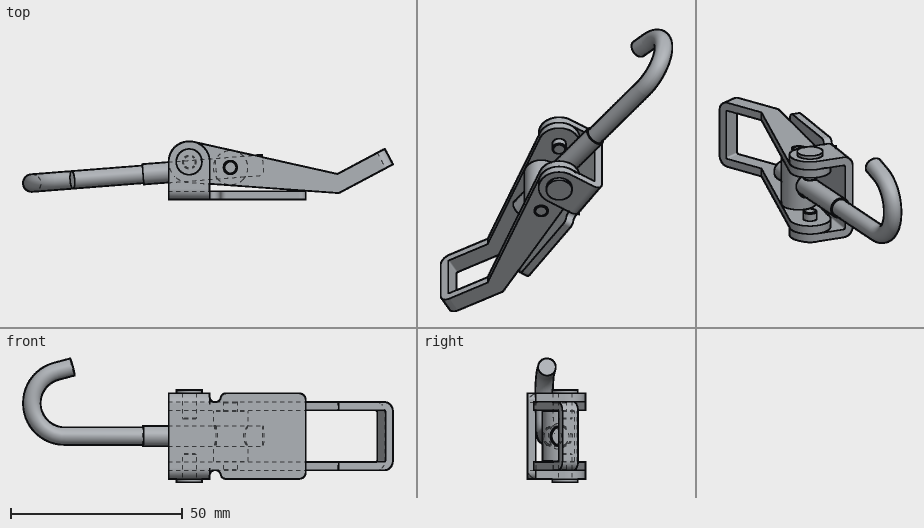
import cadquery as cq
import math


sheet = 2.5
bracket_half_width = 12.5
ear_radius = 6.0
pivot_height = 11.0
plate_end = 34.0
plate_corner_radius = 2.0
bend_inner_radius = 0.5
bend_outer_radius = bend_inner_radius + sheet
relief_radius = 1.6
relief_depth = 2.6

pin_chamfer = 0.3

rivet_radius = 2.0
rivet_head_radius = 3.75
rivet_head_height = 1.0
rivet_inner_end = 5.0

lever_half_width = bracket_half_width - sheet
lever_inner_half_width = lever_half_width - sheet
lever_upper_slope = math.radians(12.6)
lever_lower_slope = math.radians(4.1)
handle_angle = math.radians(28)
upper_bend_x = 43.2
lower_bend_x = 43.6
handle_tip_x = 59.41
handle_corner_radius = bend_outer_radius

barrel_x = 12.0
barrel_height = 9.36
barrel_radius = 5.0
barrel_half_length = 7.25
countersink_radius = 3.75
trunnion_radius = 2.0

rod_tilt = 4.5
rod_radius = 2.6
shank_radius = 3.0
shank_tail = 9.5
shank_length = 35.0
bend_start = 48.4
hook_radius = 9.6
hook_opening = math.radians(15)
hook_tip_length = 4.9


def cylinder_along_z(x, y, radius, z_start, z_end):
    return cq.Workplane(origin=(x, y, z_start)).circle(radius).extrude(z_end - z_start)


def relief_notch():
    """Notch in the +Z plate edge beside the ear: a hollow arc blending into a rounded shoulder."""
    hollow_x = ear_radius + relief_radius
    hollow_z = bracket_half_width - relief_depth + relief_radius
    shoulder_z = bracket_half_width - relief_radius
    rise = hollow_z - shoulder_z
    shoulder_x = hollow_x + math.sqrt((2 * relief_radius) ** 2 - rise**2)
    shoulder_top = (shoulder_x, bracket_half_width)
    blend = ((hollow_x + shoulder_x) / 2, (hollow_z + shoulder_z) / 2)
    blend_angle = math.atan2(rise, shoulder_x - hollow_x)
    shoulder_mid_angle = (math.pi / 2 + math.pi - blend_angle) / 2
    shoulder_mid = (
        shoulder_x + relief_radius * math.cos(shoulder_mid_angle),
        shoulder_z + relief_radius * math.sin(shoulder_mid_angle),
    )
    return (
        cq.Workplane("XZ")
        .moveTo(ear_radius, bracket_half_width)
        .lineTo(ear_radius, hollow_z)
        .threePointArc((hollow_x, hollow_z - relief_radius), blend)
        .threePointArc(shoulder_mid, shoulder_top)
        .close()
        .extrude(-sheet)
    )


def make_bracket():
    channel_height = pivot_height + ear_radius
    outer = (
        cq.Workplane("XY")
        .box(2 * ear_radius, channel_height, 2 * bracket_half_width, centered=(True, False, True))
        .edges("|X and <Y")
        .fillet(bend_outer_radius)
    )
    inner = (
        cq.Workplane("XY", origin=(0, sheet, 0))
        .box(2 * ear_radius, channel_height, 2 * lever_half_width, centered=(True, False, True))
        .edges("|X and <Y")
        .fillet(bend_inner_radius)
    )
    ear_profile = (
        cq.Workplane("XY", origin=(0, 0, -bracket_half_width))
        .moveTo(-ear_radius, 0)
        .lineTo(ear_radius, 0)
        .lineTo(ear_radius, pivot_height)
        .threePointArc((0, channel_height), (-ear_radius, pivot_height))
        .close()
        .extrude(2 * bracket_half_width)
    )
    plate = (
        cq.Workplane("XY", origin=(ear_radius, 0, 0))
        .box(plate_end - ear_radius, sheet, 2 * bracket_half_width, centered=(False, False, True))
        .edges("|Y and >X")
        .fillet(plate_corner_radius)
    )
    notch = relief_notch()
    pivot_hole = cylinder_along_z(0, pivot_height, rivet_radius, -bracket_half_width, bracket_half_width)
    channel = outer.cut(inner).intersect(ear_profile)
    bracket = channel.union(plate).cut(notch).cut(notch.mirror("XY"))
    return bracket.cut(pivot_hole)


def make_rivet(side):
    """Rivet through one ear and one lever leg; side is +1 or -1 along Z."""
    shank = cylinder_along_z(0, pivot_height, rivet_radius, rivet_inner_end, bracket_half_width)
    shank = shank.faces("<Z").chamfer(pin_chamfer)
    head_top = bracket_half_width + rivet_head_height
    head = cylinder_along_z(0, pivot_height, rivet_head_radius, bracket_half_width, head_top)
    rivet = shank.union(head)
    return rivet if side > 0 else rivet.mirror("XY")


def make_lever():
    upper_start = (
        ear_radius * math.sin(lever_upper_slope),
        pivot_height + ear_radius * math.cos(lever_upper_slope),
    )
    lower_start = (
        -ear_radius * math.sin(lever_lower_slope),
        pivot_height - ear_radius * math.cos(lever_lower_slope),
    )
    upper_bend_y = upper_start[1] - (upper_bend_x - upper_start[0]) * math.tan(lever_upper_slope)
    lower_bend_y = lower_start[1] - (lower_bend_x - lower_start[0]) * math.tan(lever_lower_slope)
    along = (math.cos(handle_angle), math.sin(handle_angle))
    across = (-along[1], along[0])

    tip_y = lower_bend_y + (handle_tip_x - lower_bend_x) * math.tan(handle_angle)
    handle_width = (upper_bend_x - lower_bend_x) * across[0] + (upper_bend_y - lower_bend_y) * across[1]
    upper_tip = (handle_tip_x + handle_width * across[0], tip_y + handle_width * across[1])
    side_profile = (
        cq.Workplane("XY", origin=(0, 0, -lever_half_width))
        .moveTo(*upper_start)
        .lineTo(upper_bend_x, upper_bend_y)
        .lineTo(*upper_tip)
        .lineTo(handle_tip_x, tip_y)
        .lineTo(lower_bend_x, lower_bend_y)
        .lineTo(*lower_start)
        .threePointArc((-ear_radius, pivot_height), upper_start)
        .close()
        .extrude(2 * lever_half_width)
    )

    reach = 2 * handle_tip_x
    strap_frame = cq.Plane(
        origin=(handle_tip_x, tip_y, 0),
        xDir=(along[0], along[1], 0),
        normal=(across[0], across[1], 0),
    )

    def strap_block(end_inset, half_width, corner_radius):
        return (
            cq.Workplane(strap_frame)
            .center(-end_inset - reach / 2, 0)
            .box(reach, 2 * half_width, 2 * reach)
            .edges(cq.selectors.ParallelDirSelector(strap_frame.zDir))
            .fillet(corner_radius)
        )

    strap = strap_block(0, lever_half_width, handle_corner_radius)
    strap = strap.cut(strap_block(sheet, lever_inner_half_width, bend_inner_radius))
    pivot_hole = cylinder_along_z(0, pivot_height, rivet_radius, -lever_half_width, lever_half_width)
    trunnion_hole = cylinder_along_z(
        barrel_x, barrel_height, trunnion_radius, -lever_half_width, lever_half_width
    )
    return side_profile.intersect(strap).cut(pivot_hole).cut(trunnion_hole)


def shank_cylinder():
    """Thick end of the hook rod, laid along X with the barrel axis at the origin."""
    return cq.Workplane("YZ", origin=(shank_tail - shank_length, 0, 0)).circle(shank_radius).extrude(shank_length)


def place_on_barrel(body):
    return body.rotate((0, 0, 0), (0, 0, 1), rod_tilt).translate((barrel_x, barrel_height, 0))


def make_barrel():
    body = cylinder_along_z(barrel_x, barrel_height, barrel_radius, -barrel_half_length, barrel_half_length)
    trunnion = cylinder_along_z(barrel_x, barrel_height, trunnion_radius, -lever_half_width, lever_half_width)
    trunnion = trunnion.faces("|Z").chamfer(pin_chamfer)
    countersink = cq.Workplane(
        cq.Solid.makeCone(
            countersink_radius,
            0,
            countersink_radius,
            pnt=cq.Vector(-barrel_radius, 0, 0),
            dir=cq.Vector(1, 0, 0),
        )
    )
    hole = shank_cylinder().union(countersink)
    return body.union(trunnion).cut(place_on_barrel(hole))


def make_hook():
    arc_end = (
        -bend_start - hook_radius * math.sin(hook_opening),
        hook_radius + hook_radius * math.cos(hook_opening),
    )
    tip = (
        arc_end[0] + hook_tip_length * math.cos(hook_opening),
        arc_end[1] + hook_tip_length * math.sin(hook_opening),
    )
    rod_start = shank_tail - shank_length
    path = (
        cq.Workplane("XZ")
        .moveTo(rod_start, 0)
        .lineTo(-bend_start, 0)
        .threePointArc((-bend_start - hook_radius, hook_radius), arc_end)
        .lineTo(*tip)
    )
    rod = cq.Workplane("YZ", origin=(rod_start, 0, 0)).circle(rod_radius).sweep(path)
    return place_on_barrel(shank_cylinder().union(rod))


bracket = make_bracket()
rivets = [make_rivet(side) for side in (1, -1)]
lever = make_lever()
barrel = make_barrel()
hook = make_hook()

result = cq.Compound.makeCompound(
    [bracket.val(), *[rivet.val() for rivet in rivets], lever.val(), barrel.val(), hook.val()]
)